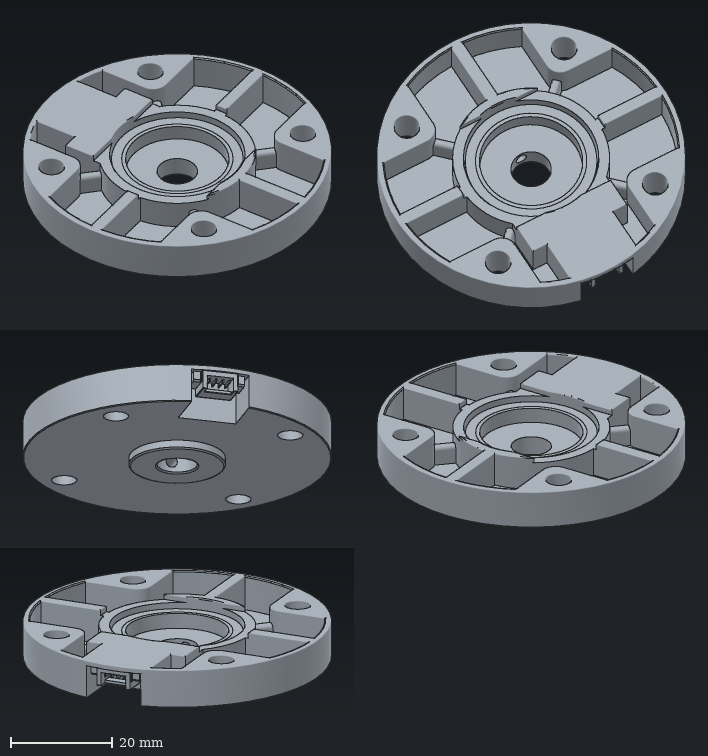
import cadquery as cq
import math

HUB_BOTTOM = 0.0
HOUSING_BOTTOM = 1.75
POCKET_FLOOR = 2.6
HUB_FLOOR = 4.2
HUB_TOP = 7.3
COLLAR_TOP = 8.5
HOUSING_TOP = 9.65

OUTER_RADIUS = 30.5
POCKET_RADIUS = 29.1
COLLAR_RADIUS = 15.5
CAVITY_RADIUS = 13.35
EDGE_ROUNDING = 0.25
BOTTOM_CHAMFER = 0.2

POST_OFFSET = 13.0
POST_CORNER_RADIUS = 3.05
MOUNT_HOLE_OFFSET = 17.9
MOUNT_HOLE_RADIUS = 2.5

RIB_WIDTH = 2.6
WEB_WIDTH = 1.95
WEB_TOP = 6.6
WEB_EDGE_RADIUS = 0.9
WEB_END_WALL = 0.6

LOWERED_HALF_LENGTH = 12.75
LOWERED_HALF_WIDTH = 16.05

NECK_HALF_WIDTH = 7.55
SHOULDER_HALF_WIDTH = 10.7
SHOULDER_X = -19.3

SLOT_HALF_WIDTH = 5.9
SLOT_END_X = -20.7
SLOT_ROOF = 8.6

BOSS_RADIUS = 9.5
BOSS_CHAMFER = 0.3
HUB_RADIUS = 11.0
HUB_RECESS_RADIUS = 10.2
SHAFT_RADIUS = 3.95
SCREW_HOLE_RADIUS = 1.15
SCREW_HOLE_Z = 2.45
RING_RADIUS = 13.0

CONNECTOR_FRONT_X = -29.95
CONNECTOR_LENGTH = 5.0
CONNECTOR_HALF_WIDTH = 3.6
CONNECTOR_BOTTOM = 4.8
SOCKET_HALF_WIDTH = 2.7
SOCKET_TOP = 7.6
SOCKET_BOTTOM = 5.5
SOCKET_DEPTH = 3.65
LIP_SETBACK = 1.8
CONNECTOR_CHAMFER = 0.1

PIN_COUNT = 4
PIN_PITCH = 1.35
PIN_WIDTH = 0.25
PIN_HEIGHT = 0.55
PIN_Z = 7.0
PIN_TIP_X = -29.55

FLANGE_OUTER = 3.8
EAR_OUTER = 5.25
EAR_BOTTOM = 6.5
FLANGE_FRONT_X = -29.55
EAR_FRONT_X = -29.0
EAR_CHAMFER = 0.35


def box(x0, x1, y0, y1, z0, z1):
    """Box between two opposite corners."""
    return cq.Workplane("XY").box(x1 - x0, y1 - y0, z1 - z0, centered=False).translate((x0, y0, z0))


def cylinder(radius, z0, z1):
    """Upright cylinder on the main axis."""
    return cq.Workplane("XY").workplane(offset=z0).circle(radius).extrude(z1 - z0)


def corner_post(sign_x, sign_y):
    """Corner filling between two pockets, rounded towards the centre."""
    size = OUTER_RADIUS - POST_OFFSET
    post = box(POST_OFFSET, POST_OFFSET + size, POST_OFFSET, POST_OFFSET + size, POCKET_FLOOR, HOUSING_TOP)
    post = post.edges("|Z and <X and <Y").fillet(POST_CORNER_RADIUS)
    if sign_x < 0:
        post = post.mirror("YZ")
    if sign_y < 0:
        post = post.mirror("XZ")
    return post


def pockets():
    """Ring-shaped space between collar and rim, less the posts, ribs and connector block."""
    space = cylinder(POCKET_RADIUS, POCKET_FLOOR, HOUSING_TOP)
    space = space.cut(cylinder(COLLAR_RADIUS, POCKET_FLOOR, HOUSING_TOP))
    for sign_x in (-1, 1):
        for sign_y in (-1, 1):
            space = space.cut(corner_post(sign_x, sign_y))
    half_rib = RIB_WIDTH / 2
    space = space.cut(box(-half_rib, half_rib, -OUTER_RADIUS, OUTER_RADIUS, POCKET_FLOOR, HOUSING_TOP))
    space = space.cut(box(0, OUTER_RADIUS, -half_rib, half_rib, POCKET_FLOOR, HOUSING_TOP))
    space = space.cut(
        box(-OUTER_RADIUS, 0, -NECK_HALF_WIDTH, NECK_HALF_WIDTH, POCKET_FLOOR, HOUSING_TOP)
    )
    return space.cut(
        box(SHOULDER_X, 0, -SHOULDER_HALF_WIDTH, SHOULDER_HALF_WIDTH, POCKET_FLOOR, HOUSING_TOP)
    )


def web(angle):
    """Round-topped web from the collar to a corner post."""
    start = (COLLAR_RADIUS + CAVITY_RADIUS) / 2
    end = MOUNT_HOLE_OFFSET * math.sqrt(2) - MOUNT_HOLE_RADIUS - WEB_END_WALL
    half = WEB_WIDTH / 2
    strip = box(start, end, -half, half, POCKET_FLOOR, WEB_TOP)
    strip = strip.edges("|X and >Z").fillet(WEB_EDGE_RADIUS)
    return strip.rotate((0, 0, 0), (0, 0, 1), angle)


def make_housing():
    """Round cover with pockets, a central cavity for hub and ring, and a slot for the connector."""
    body = cylinder(OUTER_RADIUS, HOUSING_BOTTOM, HOUSING_TOP).faces("<Z").chamfer(BOTTOM_CHAMFER)
    body = body.cut(pockets())
    body = body.cut(cylinder(CAVITY_RADIUS, POCKET_FLOOR, HOUSING_TOP))
    body = body.cut(
        box(-LOWERED_HALF_LENGTH, LOWERED_HALF_LENGTH, -LOWERED_HALF_WIDTH, LOWERED_HALF_WIDTH,
            COLLAR_TOP, HOUSING_TOP)
    )
    mount_holes = (
        cq.Workplane("XY")
        .rect(2 * MOUNT_HOLE_OFFSET, 2 * MOUNT_HOLE_OFFSET, forConstruction=True)
        .vertices()
        .circle(MOUNT_HOLE_RADIUS)
        .extrude(HOUSING_TOP)
    )
    body = body.cut(mount_holes)
    body = body.faces(">Z").edges().fillet(EDGE_ROUNDING)
    body = body.cut(cylinder(BOSS_RADIUS, HOUSING_BOTTOM, POCKET_FLOOR))
    for angle in (45, 135, 225, 315):
        body = body.union(web(angle))
    return body.cut(
        box(-OUTER_RADIUS, SLOT_END_X, -SLOT_HALF_WIDTH, SLOT_HALF_WIDTH, HOUSING_BOTTOM, SLOT_ROOF)
    )


def make_hub():
    """Recessed hub with a shaft bore, a lower boss and a radial screw hole towards +X."""
    hub = cylinder(BOSS_RADIUS, HUB_BOTTOM, POCKET_FLOOR)
    hub = hub.union(cylinder(HUB_RADIUS, POCKET_FLOOR, HUB_TOP))
    hub = hub.cut(cylinder(HUB_RECESS_RADIUS, HUB_FLOOR, HUB_TOP))
    hub = hub.cut(cylinder(SHAFT_RADIUS, HUB_BOTTOM, HUB_FLOOR))
    hub = hub.faces("<Z").chamfer(BOSS_CHAMFER)
    screw_hole = (
        cq.Workplane("YZ").center(0, SCREW_HOLE_Z).circle(SCREW_HOLE_RADIUS).extrude(HUB_RADIUS)
    )
    return hub.cut(screw_hole)


def make_ring():
    """Plain ring around the hub, clear of the cavity wall."""
    return cylinder(RING_RADIUS, POCKET_FLOOR, HUB_TOP).cut(cylinder(HUB_RADIUS, POCKET_FLOOR, HUB_TOP))


def connector_ear():
    """Side ear on the +Y side: a thin flange and a foot with a chamfered lower front edge."""
    back_x = CONNECTOR_FRONT_X + CONNECTOR_LENGTH
    flange = box(FLANGE_FRONT_X, back_x, CONNECTOR_HALF_WIDTH, FLANGE_OUTER, EAR_BOTTOM, SLOT_ROOF)
    foot = box(EAR_FRONT_X, back_x, FLANGE_OUTER, EAR_OUTER, EAR_BOTTOM, SLOT_ROOF)
    foot = foot.edges("<X and <Z").chamfer(EAR_CHAMFER)
    return flange.union(foot)


def make_connector():
    """Pin connector hanging from the slot roof, open to the front, with an ear on each side."""
    front = CONNECTOR_FRONT_X
    socket_end = front + SOCKET_DEPTH
    body = box(front, front + CONNECTOR_LENGTH, -CONNECTOR_HALF_WIDTH, CONNECTOR_HALF_WIDTH,
               CONNECTOR_BOTTOM, SLOT_ROOF)
    body = body.cut(box(front, socket_end, -SOCKET_HALF_WIDTH, SOCKET_HALF_WIDTH,
                        SOCKET_BOTTOM, SOCKET_TOP))
    lip = front + LIP_SETBACK
    body = body.cut(box(front, lip, -SOCKET_HALF_WIDTH, SOCKET_HALF_WIDTH, CONNECTOR_BOTTOM, SOCKET_TOP))
    body = body.faces("<Z").chamfer(CONNECTOR_CHAMFER)
    for index in range(PIN_COUNT):
        y = (index - (PIN_COUNT - 1) / 2) * PIN_PITCH
        body = body.union(box(PIN_TIP_X, socket_end, y - PIN_WIDTH / 2, y + PIN_WIDTH / 2,
                              PIN_Z - PIN_HEIGHT / 2, PIN_Z + PIN_HEIGHT / 2))
    ear = connector_ear()
    return body.union(ear).union(ear.mirror("XZ"))


housing = make_housing()
hub = make_hub()
ring = make_ring()
connector = make_connector()

bodies = (housing, hub, ring, connector)
result = cq.Compound.makeCompound([body.solids().val() for body in bodies])